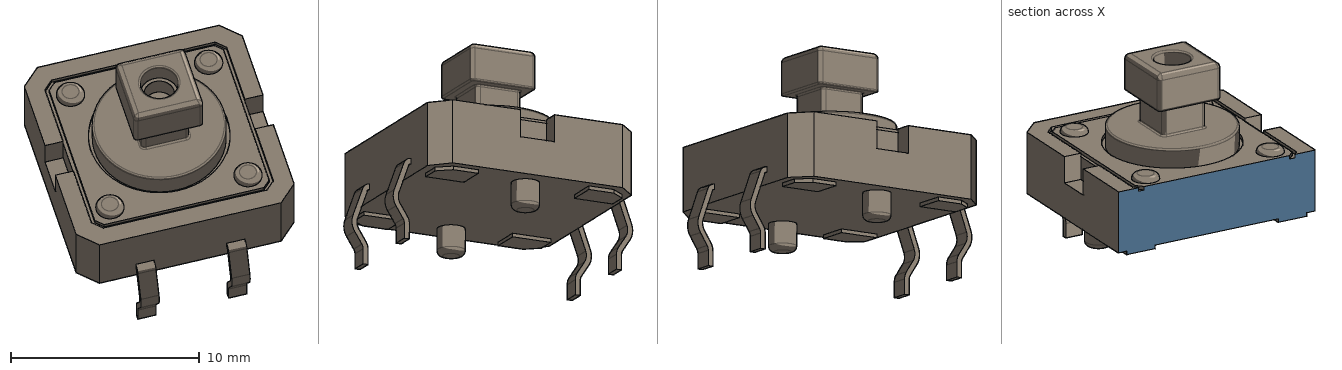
import cadquery as cq
import math


BODY_SIZE = 12.0
BODY_HEIGHT = 3.5
BODY_CHAMFER = 1.0

GROOVE_DEPTH = 0.2
FRAME_OUTER_SIZE = 10.0
FRAME_INNER_SIZE = 9.6
FRAME_OUTER_CHAMFER = 0.5
FRAME_INNER_CHAMFER = 0.4
PLUNGER_HOLE_RADIUS = 3.75

NOTCH_WIDTH = 2.0
NOTCH_FLOOR_Z = 2.0

RIVET_OFFSET = 3.8
RIVET_RADIUS = 0.75
RIVET_HEIGHT = 0.3

DISC_RADIUS = 3.55
DISC_TOP_Z = 4.5
STEM_SIZE = 2.6
CAP_SIZE = 3.8
CAP_BOTTOM_Z = 6.2
CAP_TOP_Z = 8.3
CAP_TOP_FILLET = 0.3
CORNER_FILLET = 0.2
SMALL_FILLET = 0.1

BORE_RADIUS = 1.0
BORE_DEPTH = 1.0
LOWER_BORE_RADIUS = 0.8
LOWER_BORE_DEPTH = 1.0

PEG_OFFSET_Y = 4.5
PEG_RADIUS = 0.75
PEG_LENGTH = 1.5
PEG_FILLET = 0.3
PAD_OUTER = 5.5
PAD_LENGTH_X = 2.25
PAD_LENGTH_Y = 1.75
PAD_CHAMFER_X = 0.78
PAD_CHAMFER_Y = 0.6
PAD_HEIGHT = 0.2

LEG_THICKNESS = 0.3
LEG_WIDTH = 1.0
LEG_OFFSET_Y = 2.5
LEG_ROOT_X = 5.5
LEG_TOP_Z = 0.96
LEG_TIP_Z = -3.52
LEG_SPAN = 14.09
LEG_TIP_OUTER_X = 6.39
UPPER_ANGLE = 20.0
LOWER_ANGLE = 33.0
UPPER_STRAIGHT = 1.67
SHOULDER_RADIUS = 0.3
ELBOW_RADIUS = 0.85
ANKLE_RADIUS = 0.6

SIDES = (-1, 1)
CORNERS = [(x_side, y_side) for x_side in SIDES for y_side in SIDES]


def chamfered_block(size, chamfer, bottom_z, height):
    """Square block with chamfered vertical edges."""
    block = cq.Workplane("XY").workplane(offset=bottom_z).rect(size, size).extrude(height)
    return block.edges("|Z").chamfer(chamfer)


def cylinder(radius, bottom_z, height):
    return cq.Workplane("XY").workplane(offset=bottom_z).circle(radius).extrude(height)


def make_housing():
    groove_z = BODY_HEIGHT - GROOVE_DEPTH
    housing = chamfered_block(BODY_SIZE, BODY_CHAMFER, 0, BODY_HEIGHT)

    frame_groove = chamfered_block(FRAME_OUTER_SIZE, FRAME_OUTER_CHAMFER, groove_z, GROOVE_DEPTH)
    cover = chamfered_block(FRAME_INNER_SIZE, FRAME_INNER_CHAMFER, groove_z, GROOVE_DEPTH)
    housing = housing.cut(frame_groove.cut(cover))
    housing = housing.cut(cylinder(PLUNGER_HOLE_RADIUS, groove_z, GROOVE_DEPTH))

    notch_depth = (BODY_SIZE - FRAME_OUTER_SIZE) / 2
    notch_height = BODY_HEIGHT - NOTCH_FLOOR_Z
    notch = cq.Workplane("XY").box(NOTCH_WIDTH, notch_depth, notch_height)
    for side in SIDES:
        notch_y = side * (BODY_SIZE - notch_depth) / 2
        housing = housing.cut(notch.translate((0, notch_y, NOTCH_FLOOR_Z + notch_height / 2)))
    return housing


def make_rivet():
    """Rivet head whose rim is a full quarter round."""
    flat_radius = RIVET_RADIUS - RIVET_HEIGHT
    diagonal = RIVET_HEIGHT * math.sqrt(0.5)
    return (
        cq.Workplane("XZ")
        .lineTo(RIVET_RADIUS, 0)
        .threePointArc((flat_radius + diagonal, diagonal), (flat_radius, RIVET_HEIGHT))
        .lineTo(0, RIVET_HEIGHT)
        .close()
        .revolve(360, (0, 0, 0), (0, 1, 0))
    )


def make_plunger():
    disc_bottom_z = BODY_HEIGHT - GROOVE_DEPTH
    disc = cylinder(DISC_RADIUS, disc_bottom_z, DISC_TOP_Z - disc_bottom_z)
    disc = disc.faces(">Z").edges().fillet(SMALL_FILLET)

    cap = cq.Workplane("XY").workplane(offset=CAP_BOTTOM_Z).rect(CAP_SIZE, CAP_SIZE)
    cap = cap.extrude(CAP_TOP_Z - CAP_BOTTOM_Z)
    cap = cap.faces(">Z").edges().fillet(CAP_TOP_FILLET)
    cap = cap.edges("|Z").fillet(CORNER_FILLET)
    cap = cap.faces("<Z").edges().fillet(SMALL_FILLET)

    stem = cq.Workplane("XY").workplane(offset=DISC_TOP_Z).rect(STEM_SIZE, STEM_SIZE)
    stem = stem.extrude(CAP_BOTTOM_Z - DISC_TOP_Z).edges("|Z").fillet(CORNER_FILLET)

    plunger = disc.union(stem).union(cap)
    half_box = (STEM_SIZE + SMALL_FILLET) / 2
    for joint_z in (DISC_TOP_Z, CAP_BOTTOM_Z):
        joint = cq.selectors.BoxSelector(
            (-half_box, -half_box, joint_z - SMALL_FILLET / 2),
            (half_box, half_box, joint_z + SMALL_FILLET / 2),
        )
        plunger = plunger.edges(joint).fillet(SMALL_FILLET)

    bore = cylinder(BORE_RADIUS, CAP_TOP_Z - BORE_DEPTH, BORE_DEPTH)
    plunger = plunger.cut(bore)
    plunger = plunger.faces(">Z").edges("%CIRCLE").fillet(SMALL_FILLET)
    lower_bore_z = CAP_TOP_Z - BORE_DEPTH - LOWER_BORE_DEPTH
    return plunger.cut(cylinder(LOWER_BORE_RADIUS, lower_bore_z, LOWER_BORE_DEPTH))


def make_peg():
    peg = cylinder(PEG_RADIUS, -PEG_LENGTH, PEG_LENGTH)
    return peg.faces("<Z").edges().fillet(PEG_FILLET)


def make_pad(x_side, y_side):
    """Thin corner pad with its outer corner cut off."""
    outline = [
        (PAD_OUTER - PAD_LENGTH_X, PAD_OUTER - PAD_LENGTH_Y),
        (PAD_OUTER, PAD_OUTER - PAD_LENGTH_Y),
        (PAD_OUTER, PAD_OUTER - PAD_CHAMFER_Y),
        (PAD_OUTER - PAD_CHAMFER_X, PAD_OUTER),
        (PAD_OUTER - PAD_LENGTH_X, PAD_OUTER),
    ]
    points = [(x_side * x, y_side * y) for x, y in outline]
    return cq.Workplane("XY").polyline(points).close().extrude(-PAD_HEIGHT)


def make_leg():
    """Strip leaving the +X wall, bent outward-down, then inward-down, then straight down."""
    upper = math.radians(UPPER_ANGLE)
    lower = math.radians(LOWER_ANGLE)
    half_thickness = LEG_THICKNESS / 2
    root_z = LEG_TOP_Z - half_thickness
    elbow_x = LEG_SPAN / 2 - half_thickness
    tip_x = LEG_TIP_OUTER_X - half_thickness

    def on_bend(center, radius, angle):
        return (center[0] + radius * math.cos(angle), center[1] + radius * math.sin(angle))

    elbow_center_x = elbow_x - ELBOW_RADIUS
    shoulder_center = (
        elbow_center_x
        + (ELBOW_RADIUS - SHOULDER_RADIUS) * math.cos(upper)
        - UPPER_STRAIGHT * math.sin(upper),
        root_z - SHOULDER_RADIUS,
    )
    elbow_center = (
        elbow_center_x,
        shoulder_center[1]
        - (ELBOW_RADIUS - SHOULDER_RADIUS) * math.sin(upper)
        - UPPER_STRAIGHT * math.cos(upper),
    )
    ankle_center_x = tip_x + ANKLE_RADIUS
    radius_sum = ELBOW_RADIUS + ANKLE_RADIUS
    center_shift = ankle_center_x - elbow_center_x
    lower_straight = (radius_sum * math.cos(lower) - center_shift) / math.sin(lower)
    ankle_center = (
        ankle_center_x,
        elbow_center[1] - radius_sum * math.sin(lower) - lower_straight * math.cos(lower),
    )

    path = (
        cq.Workplane("XZ")
        .moveTo(LEG_ROOT_X, root_z)
        .lineTo(shoulder_center[0], root_z)
        .threePointArc(
            on_bend(shoulder_center, SHOULDER_RADIUS, (math.pi / 2 + upper) / 2),
            on_bend(shoulder_center, SHOULDER_RADIUS, upper),
        )
        .lineTo(*on_bend(elbow_center, ELBOW_RADIUS, upper))
        .threePointArc(
            on_bend(elbow_center, ELBOW_RADIUS, (upper - lower) / 2),
            on_bend(elbow_center, ELBOW_RADIUS, -lower),
        )
        .lineTo(*on_bend(ankle_center, ANKLE_RADIUS, math.pi - lower))
        .threePointArc(
            on_bend(ankle_center, ANKLE_RADIUS, math.pi - lower / 2),
            on_bend(ankle_center, ANKLE_RADIUS, math.pi),
        )
        .lineTo(tip_x, LEG_TIP_Z)
    )
    section = cq.Workplane("YZ", origin=(LEG_ROOT_X, 0, root_z)).rect(LEG_WIDTH, LEG_THICKNESS)
    return section.sweep(path)


result = make_housing().union(make_plunger())
rivet = make_rivet()
right_leg = make_leg()
legs = {1: right_leg, -1: right_leg.mirror("YZ")}
for x_side, y_side in CORNERS:
    result = result.union(rivet.translate((x_side * RIVET_OFFSET, y_side * RIVET_OFFSET, BODY_HEIGHT)))
    result = result.union(make_pad(x_side, y_side))
    result = result.union(legs[x_side].translate((0, y_side * LEG_OFFSET_Y, 0)))
peg = make_peg()
for side in SIDES:
    result = result.union(peg.translate((0, side * PEG_OFFSET_Y, 0)))